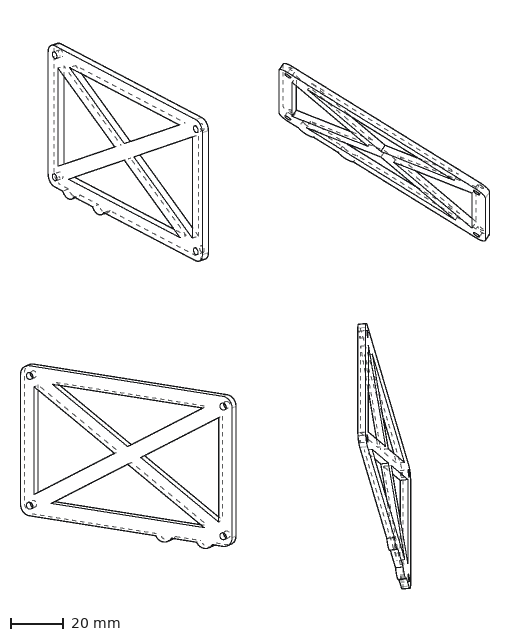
import cadquery as cq
import math

length = 93.0
thickness = 3.0
overall_height = 60.7
bump_drop = 1.95
height = overall_height - bump_drop
corner_radius = 4.0
hole_diameter = 2.7

opening_left = 5.95
opening_right = 87.0
opening_bottom = 6.2
opening_top = 52.9
cross_x = 45.9
cross_z = 29.8
bar_width = 5.95

bump_radius = 4.0
bump_positions = [12.2, 30.1]

hole_span_x = length - 2 * corner_radius
hole_span_z = height - 2 * corner_radius
bar_angle = math.degrees(math.atan2(hole_span_z, hole_span_x))
bar_length = math.hypot(length, height)


def block(x_min, x_max, z_min, z_max):
    """Block of plate thickness, covering the given X and Z ranges."""
    size_x = x_max - x_min
    size_z = z_max - z_min
    return cq.Workplane("XY").box(size_x, thickness, size_z, centered=False).translate((x_min, 0, z_min))


def cylinder(x, z, radius):
    """Cylinder along Y, as long as the plate is thick."""
    return cq.Workplane("XZ").center(x, z).circle(radius).extrude(-thickness)


def diagonal_bar(angle):
    """Bar through the crossing point, tilted from X toward Z."""
    bar = cq.Workplane("XZ").rect(bar_length, bar_width).extrude(-thickness)
    return bar.rotate((0, 0, 0), (0, 1, 0), -angle).translate((cross_x, 0, cross_z))


result = block(0, length, 0, height).edges("|Y").fillet(corner_radius)

for bump_x in bump_positions:
    result = result.union(cylinder(bump_x, bump_radius - bump_drop, bump_radius))

windows = block(opening_left, opening_right, opening_bottom, opening_top)
for angle in (bar_angle, -bar_angle):
    windows = windows.cut(diagonal_bar(angle))
result = result.cut(windows)

for hole_x in (corner_radius, length - corner_radius):
    for hole_z in (corner_radius, height - corner_radius):
        result = result.cut(cylinder(hole_x, hole_z, hole_diameter / 2))